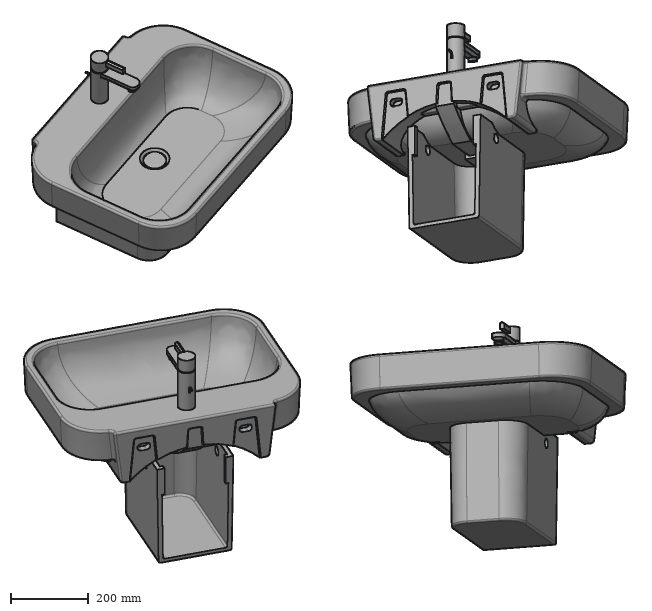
import cadquery as cq
import math

BASIN_LENGTH = 500.5
BASIN_WIDTH = 650.0
RIM_TOP = 416.0
RIM_BOTTOM = 322.5
RIM_BACK = 17.0
RIM_CORNER = 109.0
RIM_DRAFT = 2.5
RIM_ROUND = 6.0

RIM_WALL_SIDE = 24.0
RIM_WALL_FRONT = 26.0
BOWL_BACK = 131.0
BOWL_CORNER = 91.0
BOWL_FLOOR = 281.0
BOWL_INSET_BACK = 58.5
BOWL_INSET_FRONT = 156.0
BOWL_INSET_SIDE = 110.5

SHELL_TOP = 338.0
SHELL_BOTTOM = 264.0
SHELL_BACK = 42.0
SHELL_FRONT = 464.0
SHELL_HALF_WIDTH = 289.0
SHELL_CORNER = 110.5
SHELL_INSET_BACK = 84.5
SHELL_INSET_FRONT = 162.5
SHELL_INSET_SIDE = 84.5

STATIONS = 6
LAST_STATION = 0.985

PANEL_BOTTOM = 260.0
PANEL_DEPTH = 130.0
PANEL_HALF_TOP = 222.5
PANEL_HALF_BOTTOM = 204.0
PANEL_BOTTOM_ROUND = 12.0
PANEL_CORNER_ROUND = 5.0
PANEL_JOINT_ROUND = 10.0
ARCH_HALF_SPAN = 179.0
ARCH_TOP = 335.0

RECESS_DEPTH = 3.0
RECESS_TOP = 389.5
RECESS_SLOPE = 45.0
RECESS_FOOT = 253.5
RECESS_ROUND = 8.5
FIXING_OFFSET = 139.0
FIXING_HALF_TOP = 28.5
FIXING_HALF_FOOT = 41.5
MIDDLE_HALF_TOP = 20.0
MIDDLE_HALF_FOOT = 27.0
SLOT_LENGTH = 34.5
SLOT_DIAMETER = 20.0
SLOT_HEIGHT = 357.5
SLOT_DEPTH = 19.5

CHANNEL_WIDTH = 52.0
CHANNEL_BOTTOM = 257.5
CHANNEL_TOP = 338.0
CHANNEL_BEND_TOP = 327.0
CHANNEL_BEND_FRONT = 104.0
CHANNEL_BEND_BULGE = 4.0

DRAIN_X = 236.5
DRAIN_MOUTH_DIAMETER = 77.0
PLUG_DIAMETER = 60.0
DRAIN_DEPTH = 8.5
BOSS_WIDTH = 73.5
BOSS_BOTTOM = 249.5
PLUG_EDGE_HEIGHT = 3.0
PLUG_DOME_HEIGHT = 3.0

SHROUD_TOP = 283.0
SHROUD_HALF_WIDTH = 100.0
SHROUD_LENGTH = 303.0
SHROUD_DRAFT = 0.9
SHROUD_CORNER = 56.5
SHROUD_WALL = 12.5
SHROUD_FLOOR = 10.5
SHROUD_EDGE_ROUND = 6.0
SHROUD_INNER_ROUND = 6.0
PAD_THICKNESS = 8.0
PAD_OVERLAP = 4.0
PAD_LENGTH = 14.0
PAD_BOTTOM = 203.5
SIDE_HOLE_DIAMETER = 25.0
SIDE_HOLE_X = 93.0
SIDE_HOLE_Z = 248.0

TAP_X = 68.0
TAP_DIAMETER = 46.0
NECK_DIAMETER = 44.0
COLUMN_TOP = 528.0
NECK_HEIGHT = 2.0
CAP_TOP = 566.0
SPOUT_DIAMETER = 35.0
SPOUT_TIP_X = 170.0
SPOUT_THICKNESS = 19.5
SPOUT_CHAMFER = 8.0
SPOUT_ROOT_ROUND = 5.0

AERATOR_DIAMETER = 23.5
AERATOR_MOUTH_DIAMETER = 20.0
AERATOR_TILT = 15.0
AERATOR_LENGTH = 11.0
AERATOR_MOUTH_DEPTH = 2.0
AERATOR_EXIT = 502.5

LEVER_END_X = 143.0
LEVER_WIDTH = 11.0
LEVER_BOTTOM = 548.0
LEVER_EAVES = 562.5

ROD_DIAMETER = 4.0
ROD_TIP_X = 26.5
ROD_HEIGHT = 486.0
ROD_FOOT = 470.0
ROD_FOOT_X = 45.0
ROD_BEND = 8.5


def block(x, y, z):
    """Box between the given (low, high) pairs."""
    size = (x[1] - x[0], y[1] - y[0], z[1] - z[0])
    return cq.Workplane("XY").box(*size, centered=False).translate((x[0], y[0], z[0]))


def centred_in(x, y, z):
    """Selects what has its centre between the given pairs."""
    return cq.selectors.BoxSelector((x[0], y[0], z[0]), (x[1], y[1], z[1]))


def cylinder(diameter, bottom, top, x):
    """Upright cylinder on the plane of symmetry."""
    return cq.Workplane("XY", origin=(x, 0, bottom)).circle(diameter / 2).extrude(top - bottom)


def rounded_rectangle(back, front, half_width, corner, z):
    outline = cq.Sketch().rect(front - back, 2 * half_width).vertices().fillet(corner)
    return outline.moved(cq.Location(cq.Vector((back + front) / 2, 0, z)))


def bowl_form(top, bottom, back, front, half_width, corner, insets):
    """Bowl-shaped solid whose walls run inwards as quarter ellipses."""
    inset_back, inset_front, inset_side = insets
    sections = []
    for number in range(STATIONS):
        depth = math.sin(math.asin(LAST_STATION) * number / (STATIONS - 1))
        inward = 1 - math.sqrt(1 - depth**2)
        sections.append(
            rounded_rectangle(
                back + inset_back * inward,
                front - inset_front * inward,
                half_width - inset_side * inward,
                corner * (1 - inward / 3),
                top - (top - bottom) * depth / LAST_STATION,
            )
        )
    return cq.Workplane("XY").placeSketch(*sections).loft()


def rim_block():
    allowance = RIM_ROUND * (1 / math.tan(math.radians(45 - RIM_DRAFT / 2)) - 1)
    front = BASIN_LENGTH + allowance
    half = BASIN_WIDTH / 2 + allowance
    body = (
        cq.Workplane("XY", origin=(0, 0, RIM_TOP))
        .placeSketch(rounded_rectangle(RIM_BACK, front, half, RIM_CORNER, 0))
        .extrude(RIM_BOTTOM - RIM_TOP, taper=RIM_DRAFT)
    )
    return body.faces("<Z").edges().fillet(RIM_ROUND)


def back_panel():
    """Tapered wall under the deck, open below in an arch."""
    profile = (
        cq.Workplane("YZ")
        .moveTo(-PANEL_HALF_TOP, RIM_TOP)
        .lineTo(-PANEL_HALF_BOTTOM, PANEL_BOTTOM)
        .lineTo(-ARCH_HALF_SPAN, PANEL_BOTTOM)
        .threePointArc((0, ARCH_TOP), (ARCH_HALF_SPAN, PANEL_BOTTOM))
        .lineTo(PANEL_HALF_BOTTOM, PANEL_BOTTOM)
        .lineTo(PANEL_HALF_TOP, RIM_TOP)
        .close()
    )
    panel = profile.extrude(PANEL_DEPTH)
    foot = centred_in(
        (0, PANEL_DEPTH), (-PANEL_HALF_TOP, PANEL_HALF_TOP), (PANEL_BOTTOM - 6.5, PANEL_BOTTOM + 6.5)
    )
    panel = panel.edges("|X").edges(foot).edges("<Y or >Y").fillet(PANEL_BOTTOM_ROUND)
    return panel.faces("<X").edges("not(<Z or >Z)").edges("not %CIRCLE").fillet(PANEL_CORNER_ROUND)


def overflow_channel():
    """Duct that leaves the back panel, bends forward and runs under the bowl."""
    start = cq.Vector(RECESS_DEPTH, CHANNEL_BEND_TOP)
    end = cq.Vector(CHANNEL_BEND_FRONT, CHANNEL_BOTTOM)
    return (
        cq.Workplane("XZ")
        .moveTo(start.x, CHANNEL_TOP)
        .lineTo(start.x, start.y)
        .sagittaArc((end.x, end.y), -CHANNEL_BEND_BULGE)
        .lineTo(DRAIN_X, CHANNEL_BOTTOM)
        .lineTo(DRAIN_X, SHELL_BOTTOM + 6.5)
        .lineTo(end.x, CHANNEL_TOP)
        .close()
        .extrude(CHANNEL_WIDTH / 2, both=True)
    )


def drain_boss():
    """Square boss under the drain, into which the overflow channel runs."""
    half = BOSS_WIDTH / 2
    return block((DRAIN_X - half, DRAIN_X + half), (-half, half), (BOSS_BOTTOM, BOWL_FLOOR))


def shell_form():
    """Solid shape of the bulge under the rim."""
    insets = (SHELL_INSET_BACK, SHELL_INSET_FRONT, SHELL_INSET_SIDE)
    return bowl_form(
        SHELL_TOP, SHELL_BOTTOM, SHELL_BACK, SHELL_FRONT, SHELL_HALF_WIDTH, SHELL_CORNER, insets
    )


def bowl_cavity():
    insets = (BOWL_INSET_BACK, BOWL_INSET_FRONT, BOWL_INSET_SIDE)
    front = BASIN_LENGTH - RIM_WALL_FRONT
    half = BASIN_WIDTH / 2 - RIM_WALL_SIDE
    return bowl_form(RIM_TOP, BOWL_FLOOR, BOWL_BACK, front, half, BOWL_CORNER, insets)


def panel_recess(centre, half_top, half_foot):
    """Shallow recess with sloping walls and a rounded, slightly narrower top."""
    corners = [
        (centre - half_foot, RECESS_FOOT),
        (centre - half_top, RECESS_TOP),
        (centre + half_top, RECESS_TOP),
        (centre + half_foot, RECESS_FOOT),
    ]
    outline = cq.Sketch()
    for start, end in zip(corners, corners[1:] + corners[:1]):
        outline = outline.segment(start, end)
    outline = outline.assemble().vertices(">Y").fillet(RECESS_ROUND)
    return cq.Workplane("YZ").placeSketch(outline).extrude(RECESS_DEPTH, taper=RECESS_SLOPE)


def fixing_slot(centre):
    return (
        cq.Workplane("YZ", origin=(0, centre, SLOT_HEIGHT))
        .slot2D(SLOT_LENGTH, SLOT_DIAMETER)
        .extrude(RECESS_DEPTH + SLOT_DEPTH)
    )


def drain_recess():
    """Conical mouth down to the seat of the plug."""
    return (
        cq.Workplane("XY", origin=(DRAIN_X, 0, BOWL_FLOOR))
        .circle(DRAIN_MOUTH_DIAMETER / 2)
        .workplane(offset=-DRAIN_DEPTH)
        .circle(PLUG_DIAMETER / 2)
        .loft()
    )


def make_basin():
    body = rim_block().union(back_panel())
    for side in (-1, 1):
        joint = centred_in(
            (RIM_BACK - 3.0, RIM_BACK + 6.5),
            (side * PANEL_HALF_BOTTOM, side * PANEL_HALF_TOP),
            (RIM_BOTTOM + 6.5, RIM_TOP - 6.5),
        )
        body = body.edges(joint).fillet(PANEL_JOINT_ROUND)
    body = body.union(shell_form())
    for centre in (-FIXING_OFFSET, FIXING_OFFSET):
        body = body.cut(panel_recess(centre, FIXING_HALF_TOP, FIXING_HALF_FOOT))
        body = body.cut(fixing_slot(centre))
    body = body.cut(panel_recess(0, MIDDLE_HALF_TOP, MIDDLE_HALF_FOOT))
    body = body.union(overflow_channel()).union(drain_boss())
    body = body.cut(bowl_cavity())
    body = body.faces(">Z").edges().fillet(RIM_ROUND)
    return body.cut(drain_recess())


def make_plug():
    """Domed drain plug standing on the seat of the drain."""
    radius = PLUG_DIAMETER / 2
    return (
        cq.Workplane("XZ")
        .lineTo(radius, 0)
        .lineTo(radius, PLUG_EDGE_HEIGHT)
        .spline(
            [(0, PLUG_EDGE_HEIGHT + PLUG_DOME_HEIGHT)],
            tangents=[(-1, 0.5), (-1, 0)],
            includeCurrent=True,
        )
        .close()
        .revolve(360, (0, 0), (0, 1))
        .translate((DRAIN_X, 0, BOWL_FLOOR - DRAIN_DEPTH))
    )


def shroud_form(bottom, inset):
    """Drafted solid, flat at the back, `inset` inside the outer faces."""
    growth = math.tan(math.radians(SHROUD_DRAFT))
    front = SHROUD_LENGTH - inset + bottom * growth
    half = SHROUD_HALF_WIDTH - inset + bottom * growth
    outline = rounded_rectangle(-front, front, half, SHROUD_CORNER - inset, 0)
    form = (
        cq.Workplane("XY", origin=(0, 0, bottom))
        .placeSketch(outline)
        .extrude(SHROUD_TOP - bottom, taper=-SHROUD_DRAFT)
    )
    reach = 2 * SHROUD_LENGTH
    return form.intersect(block((0, reach), (-reach, reach), (bottom, SHROUD_TOP)))


def wall_pad(side):
    """Thickening at the back edge of one side wall."""
    outer = SHROUD_HALF_WIDTH - SHROUD_WALL / 2
    inner = SHROUD_HALF_WIDTH - SHROUD_WALL - PAD_THICKNESS + PAD_OVERLAP
    span = sorted((side * inner, side * outer))
    return block((0, PAD_LENGTH), span, (PAD_BOTTOM, SHROUD_TOP))


def make_shroud():
    body = shroud_form(0, 0).faces("<Z").edges("not <X").fillet(SHROUD_EDGE_ROUND)
    hollow = shroud_form(SHROUD_FLOOR, SHROUD_WALL)
    hollow = hollow.faces("<Z").edges("not <X").fillet(SHROUD_INNER_ROUND)
    body = body.cut(hollow)
    for side in (-1, 1):
        body = body.union(wall_pad(side))
    side_hole = (
        cq.Workplane("XZ", origin=(SIDE_HOLE_X, 0, SIDE_HOLE_Z))
        .circle(SIDE_HOLE_DIAMETER / 2)
        .extrude(2 * SHROUD_HALF_WIDTH, both=True)
    )
    body = body.cut(side_hole)
    return body.cut(shell_form()).cut(back_panel())


def spout():
    bottom = COLUMN_TOP - SPOUT_THICKNESS
    half = SPOUT_DIAMETER / 2
    tip = cylinder(SPOUT_DIAMETER, bottom, COLUMN_TOP, SPOUT_TIP_X)
    arm = block((TAP_X, SPOUT_TIP_X), (-half, half), (bottom, COLUMN_TOP))
    return arm.union(tip).faces("<Z").edges("not <X").chamfer(SPOUT_CHAMFER)


def make_tap_body():
    column = cylinder(TAP_DIAMETER, RIM_TOP, COLUMN_TOP, TAP_X)
    neck = cylinder(NECK_DIAMETER, COLUMN_TOP, COLUMN_TOP + NECK_HEIGHT, TAP_X)
    radius = TAP_DIAMETER / 2
    root = centred_in(
        (TAP_X + radius / 2, TAP_X + 1.01 * radius),
        (-SPOUT_DIAMETER / 2, SPOUT_DIAMETER / 2),
        (COLUMN_TOP - 1.01 * SPOUT_THICKNESS, COLUMN_TOP - SPOUT_CHAMFER),
    )
    return column.union(spout()).edges(root).fillet(SPOUT_ROOT_ROUND).union(neck)


def make_aerator():
    """Nozzle ring under the spout tip, tilted to throw the water forward."""
    return (
        cq.Workplane("XY")
        .circle(AERATOR_DIAMETER / 2)
        .extrude(AERATOR_LENGTH)
        .faces("<Z")
        .workplane()
        .circle(AERATOR_MOUTH_DIAMETER / 2)
        .cutBlind(-AERATOR_MOUTH_DEPTH)
        .rotate((0, 0, 0), (0, 1, 0), -AERATOR_TILT)
        .translate((SPOUT_TIP_X, 0, AERATOR_EXIT))
    )


def make_cap():
    return cylinder(TAP_DIAMETER, COLUMN_TOP + NECK_HEIGHT, CAP_TOP, TAP_X)


def make_lever(cap):
    """Bar with a ridged top, ending on the round face of the cap."""
    half = LEVER_WIDTH / 2
    bar = (
        cq.Workplane("YZ", origin=(TAP_X, 0, 0))
        .polyline(
            [
                (-half, LEVER_BOTTOM),
                (half, LEVER_BOTTOM),
                (half, LEVER_EAVES),
                (0, CAP_TOP),
                (-half, LEVER_EAVES),
            ]
        )
        .close()
        .extrude(LEVER_END_X - TAP_X)
    )
    return bar.cut(cap)


def make_rod():
    """Thin bent rod behind the column that works the drain plug."""
    centre = (ROD_FOOT_X - ROD_BEND, ROD_HEIGHT - ROD_BEND)
    diagonal = ROD_BEND * math.sqrt(0.5)
    path = (
        cq.Workplane("XZ")
        .moveTo(ROD_FOOT_X, ROD_FOOT)
        .lineTo(ROD_FOOT_X, centre[1])
        .threePointArc((centre[0] + diagonal, centre[1] + diagonal), (centre[0], ROD_HEIGHT))
        .lineTo(ROD_TIP_X, ROD_HEIGHT)
    )
    start = cq.Workplane("XY", origin=(ROD_FOOT_X, 0, ROD_FOOT))
    return start.circle(ROD_DIAMETER / 2).sweep(path)


basin = make_basin()
plug = make_plug()
shroud = make_shroud()
aerator = make_aerator()
rod = make_rod()
tap_body = make_tap_body().cut(aerator).cut(rod)
cap = make_cap()
lever = make_lever(cap)

bodies = [basin, plug, shroud, tap_body, aerator, cap, lever, rod]
result = cq.Compound.makeCompound([body.val() for body in bodies])